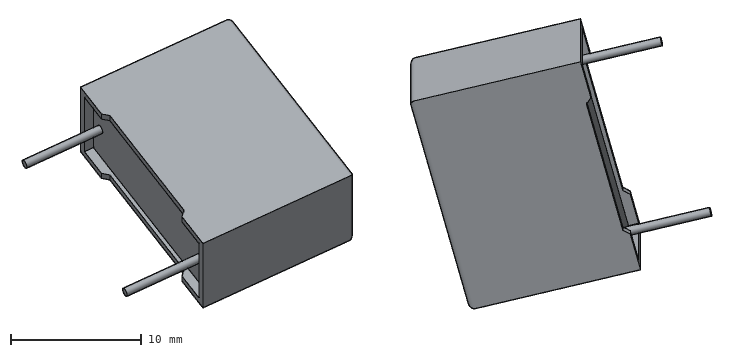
import cadquery as cq

overall_depth = 19.6
lead_reach = 6.0
width = 18.3
height = 7.7
depth = overall_depth - lead_reach
wall = 0.6
edge_radius = 0.49

notch_depth = 0.47
notch_floor_width = 11.07
notch_mouth_width = notch_floor_width + 2 * notch_depth

fill_recess = 0.8
cavity_width = width - 2 * wall
cavity_height = height - 2 * wall
cavity_depth = depth - wall

lead_diameter = 0.7
lead_pitch = 15.0


def box_from(y_start, size_x, size_y, size_z):
    """Box centred on X and Z that runs from y_start toward +Y."""
    return cq.Workplane("XY").box(size_x, size_y, size_z, centered=(True, False, True)).translate((0, y_start, 0))


def make_housing():
    """Case with rounded closed-end edges, an open cavity and a notched rim."""
    shell = box_from(0, width, depth, height).faces(">Y").edges().fillet(edge_radius)
    cavity = box_from(0, cavity_width, cavity_depth, cavity_height)
    notch = (
        cq.Workplane("XY")
        .polyline([
            (-notch_mouth_width / 2, 0),
            (-notch_floor_width / 2, notch_depth),
            (notch_floor_width / 2, notch_depth),
            (notch_mouth_width / 2, 0),
        ])
        .close()
        .extrude(height / 2, both=True)
    )
    return shell.cut(cavity).cut(notch)


def make_fill():
    """Resin block that fills the cavity up to the recessed face."""
    return box_from(fill_recess, cavity_width, cavity_depth - fill_recess, cavity_height)


def make_lead(x):
    """Round wire that stands on the resin face and points toward -Y."""
    lead_length = lead_reach + fill_recess
    return (
        cq.Workplane("XZ", origin=(x, fill_recess, 0))
        .circle(lead_diameter / 2)
        .extrude(lead_length)
    )


housing = make_housing()
fill = make_fill()
leads = [make_lead(side * lead_pitch / 2).val() for side in (-1, 1)]

result = cq.Compound.makeCompound([housing.val(), fill.val(), *leads])